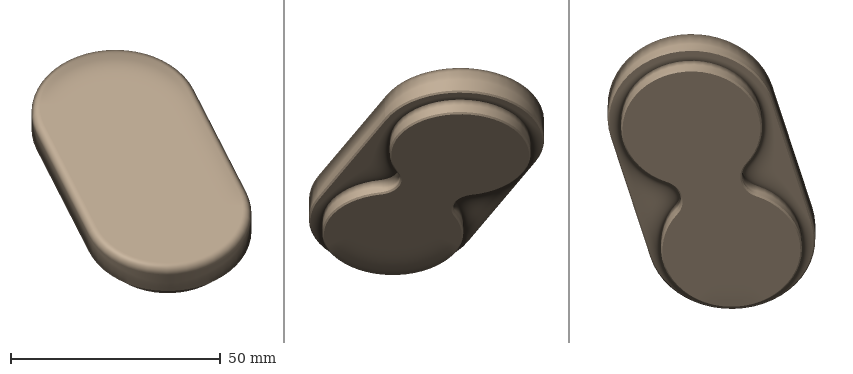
import cadquery as cq
import math

length = 76.0
width = 40.0
total_height = 12.0
plug_height = 4.0
top_round = 2.0
edge_chamfer = 0.4

plug_inset = 3.2
neck_radius = 5.6

end_offset = (length - width) / 2
plug_radius = width / 2 - plug_inset


def make_cover():
    """Stadium-shaped slab with a rounded top edge and chamfered lower edge."""
    slab = (
        cq.Workplane("XY")
        .workplane(offset=plug_height)
        .slot2D(length, width)
        .extrude(total_height - plug_height)
    )
    return slab.faces(">Z").edges().fillet(top_round).faces("<Z").edges().chamfer(edge_chamfer)


def make_plug():
    """Figure-eight plug with tangent arcs at its waist."""
    center_distance = plug_radius + neck_radius
    neck_center_y = math.sqrt(center_distance**2 - end_offset**2)
    tangent_x = end_offset * neck_radius / center_distance
    tangent_y = neck_center_y * plug_radius / center_distance
    waist_y = neck_center_y - neck_radius
    plug_end_x = end_offset + plug_radius

    plug = (
        cq.Workplane("XY")
        .moveTo(-tangent_x, tangent_y)
        .threePointArc((0, waist_y), (tangent_x, tangent_y))
        .threePointArc((plug_end_x, 0), (tangent_x, -tangent_y))
        .threePointArc((0, -waist_y), (-tangent_x, -tangent_y))
        .threePointArc((-plug_end_x, 0), (-tangent_x, tangent_y))
        .close()
        .extrude(plug_height)
    )
    return plug.faces("<Z").edges().chamfer(edge_chamfer)


result = make_cover().union(make_plug())